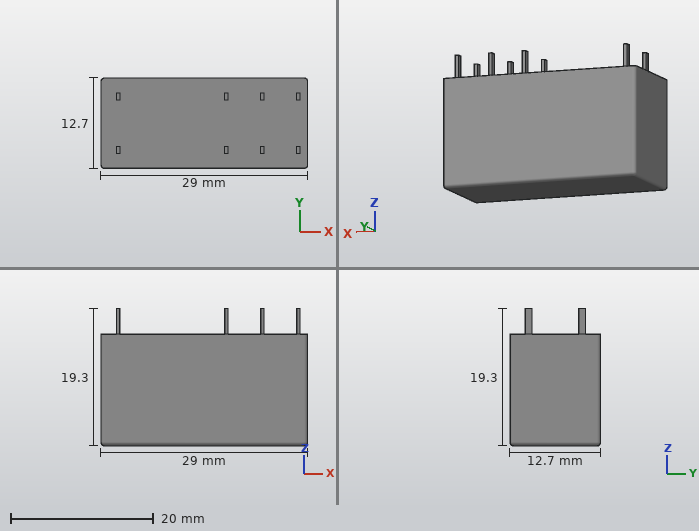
import cadquery as cq

CASE_LENGTH = 29.0
CASE_WIDTH = 12.7
CASE_HEIGHT = 15.7
EDGE_RADIUS = 0.5

PIN_THICKNESS = 0.5
PIN_WIDTH = 1.0
PIN_LENGTH = 3.6
ROW_SPACING = 7.5
FIRST_PIN_INSET = 2.4
FIRST_PIN_GAP = 15.2
PIN_PITCH = 5.04
GROUP_SIZE = 3


def make_case():
    """Box with rounded upright and bottom edges and a sharp top rim."""
    case = cq.Workplane("XY").box(CASE_LENGTH, CASE_WIDTH, CASE_HEIGHT, centered=(True, True, False))
    return case.edges("|Z or <Z").fillet(EDGE_RADIUS)


def pin_centres():
    """Centres of all pins, the same X positions in both rows."""
    first_x = FIRST_PIN_INSET - CASE_LENGTH / 2
    group_x = [first_x + FIRST_PIN_GAP + i * PIN_PITCH for i in range(GROUP_SIZE)]
    rows_y = [-ROW_SPACING / 2, ROW_SPACING / 2]
    return [(x, y) for x in [first_x] + group_x for y in rows_y]


def add_pins(case):
    """Raise every pin from the top face of the case."""
    pins = (
        cq.Workplane("XY")
        .workplane(offset=CASE_HEIGHT)
        .pushPoints(pin_centres())
        .rect(PIN_THICKNESS, PIN_WIDTH)
        .extrude(PIN_LENGTH)
    )
    return case.union(pins)


result = add_pins(make_case())